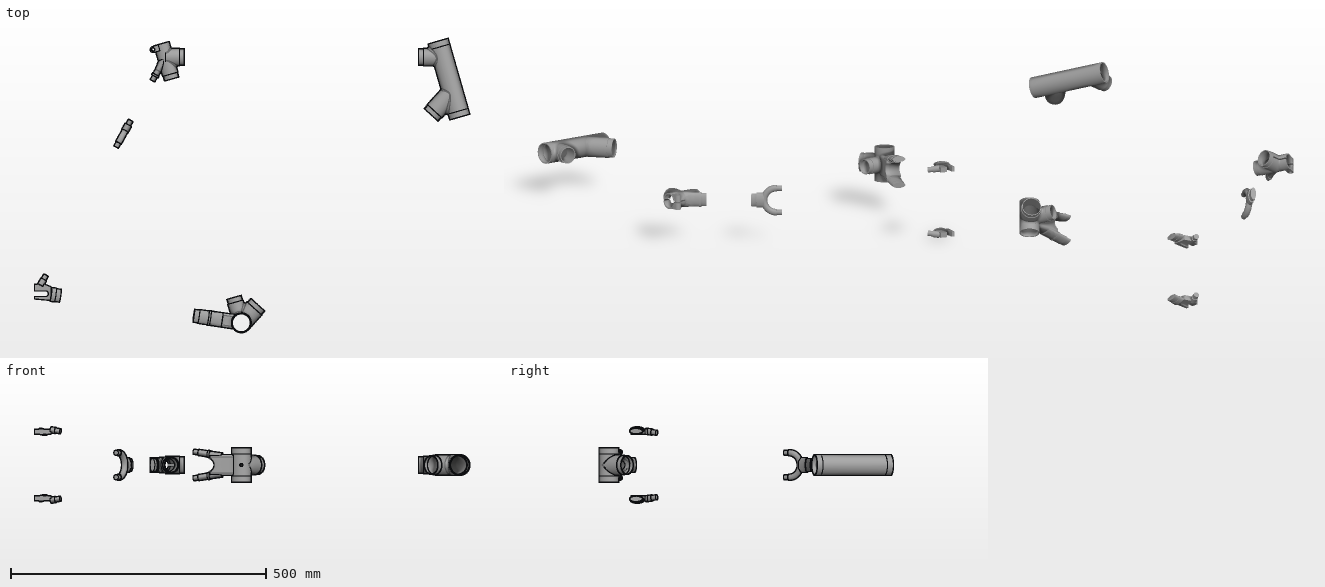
import cadquery as cq
import math


TUBE_TILT = 15.95
DOWN_ANGLE = 47.6
SEATSTAY_ANGLE = 61.3
CHAINSTAY_ANGLE = 8.5
CHAINSTAY_SPLAY = 8.7
SEATSTAY_SPLAY = 7.7
SEAT_NODE_HEIGHT = 520.1

SPIGOT_LENGTH = 10.0
SOCKET_STEP = 2.1
TOP_OD, TOP_BORE = 34.9, 29.7
SEAT_OD, SEAT_BORE = 31.8, 27.0
DOWN_OD, DOWN_BORE = 39.4, 35.0
HEAD_FILLET = 4.0
SMALL_FILLET = 3.0

HEAD_OD, HEAD_BORE = 41.5, 35.0
HEAD_CUP_BORE, HEAD_CUP_DEPTH = 37.6, 12.0
HEAD_LENGTH = 155.0
HEAD_BOTTOM = (427.67, 402.49)
HEAD_TOP_TUBE_TIP = 346.5
HEAD_DOWN_TUBE_TIP = 551.0

SEAT_TOP_TUBE_TIP = -111.5
SEAT_LUG_BOTTOM = 496.0
SEAT_LUG_TOP = 568.5
FLARE_END = 30.0
FLARE_WIDTH, FLARE_THICKNESS = 31.0, 20.0
SEAT_STAY_TIP = 53.0
EAR_CENTRE = (-172.5, 535.0)
EAR_SIZE = 12.0
EAR_WIDTH = 29.0
CLAMP_BOLT = 6.0
CLAMP_SLOT = 3.0
CLAMP_SLOT_DEPTH = 30.0

OVAL_LONG, OVAL_SHORT = 28.0, 13.0
COLLAR_STEP = 2.0
COLLAR_LENGTH = 4.0

YOKE_TOP, YOKE_BOTTOM = 141.0, 201.0
YOKE_HALF_SPAN = 24.0
YOKE_LEG = 11.0
STAY_OD, STAY_SPIGOT = 13.0, 10.6

SHELL_OD, SHELL_BORE, SHELL_WIDTH = 39.1, 35.0, 68.0
SHELL_SLEEVE_OD, SHELL_SLEEVE_WIDTH = 39.4, 42.8
DRAIN_HOLE = 6.0
BRACKET_DOWN_TIP = 48.0
BRACKET_SEAT_TIP = 52.0
BRIDGE_WIDTH, BRIDGE_HEIGHT, BRIDGE_ROUND = 42.0, 29.0, 5.0
BRIDGE_LENGTH = 60.0
SADDLE_DEPTH = 52.0
SADDLE_RADIUS = 13.0
CHAINSTAY_START_Z = 11.84
BRACKET_STAY_START = 38.0
BRACKET_COLLAR = 61.0
BRACKET_STAY_TIP = 93.0

DROPOUT_REAR = 404.86
DROPOUT_INNER, DROPOUT_THICK = 60.0, 10.0
AXLE_HEIGHT, AXLE_SLOT, SLOT_END = 56.9, 10.6, 378.0
DROPOUT_COLLAR, DROPOUT_TIP = 372.5, 354.0
DROPOUT_STAY_TIP = 486.6
DROPOUT_STAY_LENGTH = 23.0
DROPOUT_STAY_Z = 63.0
UPPER_ARM, LOWER_ARM = 18.8, 10.5
SHOULDER_LENGTH, SHOULDER_DROP = 12.0, 4.8
CHIN_DROP = 3.0


def direction(angle):
    """Unit vector in the XY plane, with the angle measured from +X."""
    return cq.Vector(math.cos(math.radians(angle)), math.sin(math.radians(angle)), 0)


ORIGIN = cq.Vector(0, 0, 0)
Z_AXIS = cq.Vector(0, 0, 1)
tube_up = direction(90 + TUBE_TILT)
down_axis = direction(DOWN_ANGLE)
stay_down = direction(SEATSTAY_ANGLE + 180)
stay_normal = direction(SEATSTAY_ANGLE + 90)
seat_node = tube_up * (SEAT_NODE_HEIGHT / tube_up.y)
chainstay_long_axis = direction(90 - CHAINSTAY_ANGLE)


def chainstay_point(distance):
    """Point of the +Z chainstay axis at the given distance behind the origin."""
    rise = distance * math.tan(math.radians(CHAINSTAY_ANGLE))
    spread = distance * math.tan(math.radians(CHAINSTAY_SPLAY))
    return cq.Vector(-distance, rise, CHAINSTAY_START_Z + spread)


def step_back(start, tip):
    """Point one spigot length before the tip."""
    return tip - (tip - start).normalized() * SPIGOT_LENGTH


def rod(start, end, diameter):
    axis = end - start
    return cq.Workplane(cq.Plane(start, normal=axis)).circle(diameter / 2).extrude(axis.Length)


def round_spigot_tube(start, tip):
    """Round stay that steps down near its tip to fit inside a frame stay."""
    return rod(start, step_back(start, tip), STAY_OD).union(rod(start, tip, STAY_SPIGOT))


def oval_rod(start, end, long_axis, reduction=0.0):
    axis = end - start
    plane = cq.Plane(start, xDir=long_axis, normal=axis)
    profile = cq.Workplane(plane).ellipse((OVAL_LONG - reduction) / 2, (OVAL_SHORT - reduction) / 2)
    return profile.extrude(axis.Length)


def oval_spigot_tube(start, tip, long_axis):
    """Oval tube that steps down near its tip to fit inside a frame stay."""
    shoulder = step_back(start, tip)
    tube = oval_rod(start, shoulder, long_axis)
    return tube.union(oval_rod(start, tip, long_axis, SOCKET_STEP))


def add_branches(body, branches, blend):
    """Join tubes to the body, blend the joints and add the spigots."""
    for start, tip, outside, _ in branches:
        body = body.union(rod(start, step_back(start, tip), outside))
    body = body.edges("%BSPLINE").fillet(blend)
    for start, tip, outside, _ in branches:
        body = body.union(rod(step_back(start, tip), tip, outside - SOCKET_STEP))
    return body


def bore_branches(body, branches):
    for start, tip, _, bore in branches:
        body = body.cut(rod(start, tip, bore))
    return body


def make_head_lug():
    bottom = cq.Vector(*HEAD_BOTTOM)
    top = bottom + tube_up * HEAD_LENGTH
    top_joint = bottom + tube_up * ((SEAT_NODE_HEIGHT - bottom.y) / tube_up.y)
    down_joint = bottom + tube_up * (bottom.cross(down_axis).z / down_axis.cross(tube_up).z)
    branches = [
        (top_joint, cq.Vector(HEAD_TOP_TUBE_TIP, SEAT_NODE_HEIGHT), TOP_OD, TOP_BORE),
        (down_joint, down_axis * HEAD_DOWN_TUBE_TIP, DOWN_OD, DOWN_BORE),
    ]
    lug = bore_branches(add_branches(rod(bottom, top, HEAD_OD), branches, HEAD_FILLET), branches)
    lug = lug.cut(rod(bottom, top, HEAD_BORE))
    for end, inward in ((bottom, tube_up), (top, tube_up * -1)):
        lug = lug.cut(rod(end, end + inward * HEAD_CUP_DEPTH, HEAD_CUP_BORE))
    return lug


def make_seat_lug():
    bottom = tube_up * SEAT_LUG_BOTTOM
    top = tube_up * SEAT_LUG_TOP
    shoulder = bottom + tube_up * SPIGOT_LENGTH
    branches = [(seat_node, cq.Vector(SEAT_TOP_TUBE_TIP, SEAT_NODE_HEIGHT), TOP_OD, TOP_BORE)]
    lug = add_branches(rod(shoulder, top, SEAT_OD), branches, SMALL_FILLET)
    lug = lug.union(rod(bottom, shoulder, SEAT_OD - SOCKET_STEP))

    stay_tip = seat_node + stay_down * SEAT_STAY_TIP
    stay_shoulder = step_back(seat_node, stay_tip)
    flare = cq.Workplane(cq.Plane(seat_node, xDir=Z_AXIS, normal=stay_down))
    flare = flare.ellipse(FLARE_WIDTH / 2, FLARE_THICKNESS / 2).workplane(offset=FLARE_END)
    flare = flare.ellipse(OVAL_LONG / 2, OVAL_SHORT / 2).loft()
    lug = lug.union(flare).union(oval_spigot_tube(seat_node, stay_tip, Z_AXIS))
    collar_start = stay_shoulder - stay_down * COLLAR_LENGTH
    lug = lug.union(oval_rod(collar_start, stay_shoulder, Z_AXIS, -COLLAR_STEP))

    ear_centre = cq.Vector(*EAR_CENTRE)
    ear_bottom = ear_centre - Z_AXIS * (EAR_WIDTH / 2)
    ear_plane = cq.Plane(ear_bottom, xDir=direction(TUBE_TILT), normal=Z_AXIS)
    ear_face = cq.Workplane(ear_plane)
    ears = ear_face.circle(EAR_SIZE / 2).extrude(EAR_WIDTH)
    ears = ears.union(ear_face.center(EAR_SIZE / 2, 0).rect(EAR_SIZE, EAR_SIZE).extrude(EAR_WIDTH))
    lug = lug.union(ears)
    lug = bore_branches(lug, branches).cut(rod(bottom, top, SEAT_BORE))
    lug = lug.cut(ear_face.circle(CLAMP_BOLT / 2).extrude(EAR_WIDTH))
    slot = cq.Workplane(cq.Plane(top, xDir=direction(TUBE_TILT + 180), normal=tube_up * -1))
    slot = slot.rect(2 * SEAT_OD, CLAMP_SLOT).extrude(CLAMP_SLOT_DEPTH)
    return lug.cut(slot)


def make_yoke():
    bend_centre = seat_node + stay_down * (YOKE_BOTTOM - YOKE_LEG)
    plane = cq.Plane(bend_centre, xDir=Z_AXIS, normal=stay_normal)
    arch_path = cq.Workplane(plane).moveTo(YOKE_HALF_SPAN, 0)
    arch_path = arch_path.threePointArc((0, YOKE_HALF_SPAN), (-YOKE_HALF_SPAN, 0))
    leg_foot = bend_centre + Z_AXIS * YOKE_HALF_SPAN
    yoke = cq.Workplane(cq.Plane(leg_foot, normal=stay_down)).circle(STAY_OD / 2).sweep(arch_path)
    for side in (1, -1):
        foot = bend_centre + Z_AXIS * (side * YOKE_HALF_SPAN)
        tip = foot + stay_down * YOKE_LEG
        yoke = yoke.union(round_spigot_tube(foot, tip))
    crown = bend_centre - stay_down * YOKE_HALF_SPAN
    stem_tip = seat_node + stay_down * YOKE_TOP
    yoke = yoke.union(oval_rod(crown, step_back(crown, stem_tip), Z_AXIS, -COLLAR_STEP))
    return yoke.union(oval_rod(crown, stem_tip, Z_AXIS, SOCKET_STEP))


def make_bracket_lug():
    half = SHELL_WIDTH / 2
    shell_bottom, shell_top = Z_AXIS * -half, Z_AXIS * half
    branches = [
        (ORIGIN, down_axis * BRACKET_DOWN_TIP, DOWN_OD, DOWN_BORE),
        (ORIGIN, tube_up * BRACKET_SEAT_TIP, SEAT_OD, SEAT_BORE),
    ]
    sleeve_end = Z_AXIS * (SHELL_SLEEVE_WIDTH / 2)
    shell = rod(sleeve_end * -1, sleeve_end, SHELL_SLEEVE_OD)
    lug = add_branches(shell, branches, SMALL_FILLET).union(rod(shell_bottom, shell_top, SHELL_OD))

    rearward = direction(180 - CHAINSTAY_ANGLE)
    bridge = cq.Workplane(cq.Plane(ORIGIN, xDir=Z_AXIS, normal=rearward))
    bridge = bridge.sketch().rect(BRIDGE_WIDTH, BRIDGE_HEIGHT).vertices().fillet(BRIDGE_ROUND).finalize()
    bridge = bridge.extrude(BRIDGE_LENGTH)
    saddle_plane = cq.Plane(rearward * (SADDLE_DEPTH + SADDLE_RADIUS), normal=chainstay_long_axis)
    saddle = cq.Workplane(saddle_plane).circle(SADDLE_RADIUS).extrude(BRIDGE_HEIGHT, both=True)
    lug = lug.union(bridge)
    stay_start = chainstay_point(BRACKET_STAY_START)
    stay = oval_spigot_tube(stay_start, chainstay_point(BRACKET_STAY_TIP), chainstay_long_axis)
    collar_start = chainstay_point(BRACKET_COLLAR)
    collar_end = chainstay_point(BRACKET_COLLAR + COLLAR_LENGTH)
    stay = stay.union(oval_rod(collar_start, collar_end, chainstay_long_axis, -COLLAR_STEP))
    lug = lug.union(stay).union(stay.mirror("XY")).cut(saddle)

    lug = bore_branches(lug, branches).cut(rod(shell_bottom, shell_top, SHELL_BORE))
    return lug.cut(rod(ORIGIN, cq.Vector(0, -SHELL_OD, 0), DRAIN_HOLE))


def make_dropout():
    top = AXLE_HEIGHT + UPPER_ARM
    bottom = AXLE_HEIGHT - LOWER_ARM
    outline = [
        (-DROPOUT_REAR, top),
        (-DROPOUT_COLLAR - SHOULDER_LENGTH, top),
        (-DROPOUT_COLLAR, top - SHOULDER_DROP),
        (-DROPOUT_COLLAR, bottom - CHIN_DROP),
        (-DROPOUT_REAR, bottom),
    ]
    plate = cq.Workplane("XY", origin=(0, 0, DROPOUT_INNER)).polyline(outline).close()
    plate = plate.extrude(DROPOUT_THICK)
    stay_tip = chainstay_point(DROPOUT_TIP)
    stay = oval_spigot_tube(chainstay_point(DROPOUT_COLLAR), stay_tip, chainstay_long_axis)

    tip = seat_node + stay_down * DROPOUT_STAY_TIP + Z_AXIS * DROPOUT_STAY_Z
    lean = Z_AXIS * math.tan(math.radians(SEATSTAY_SPLAY))
    foot = tip + (stay_down + lean) * DROPOUT_STAY_LENGTH
    dropout = plate.union(stay).union(round_spigot_tube(foot, tip))
    slot = cq.Workplane("XY", origin=(-DROPOUT_REAR, AXLE_HEIGHT, DROPOUT_INNER))
    slot = slot.slot2D(2 * (DROPOUT_REAR - SLOT_END), AXLE_SLOT).extrude(DROPOUT_THICK)
    return dropout.cut(slot)


head_lug = make_head_lug()
seat_lug = make_seat_lug()
yoke = make_yoke()
bracket_lug = make_bracket_lug()
left_dropout = make_dropout()
right_dropout = left_dropout.mirror("XY")

result = cq.Compound.makeCompound([
    head_lug.val(),
    seat_lug.val(),
    yoke.val(),
    bracket_lug.val(),
    left_dropout.val(),
    right_dropout.val(),
])